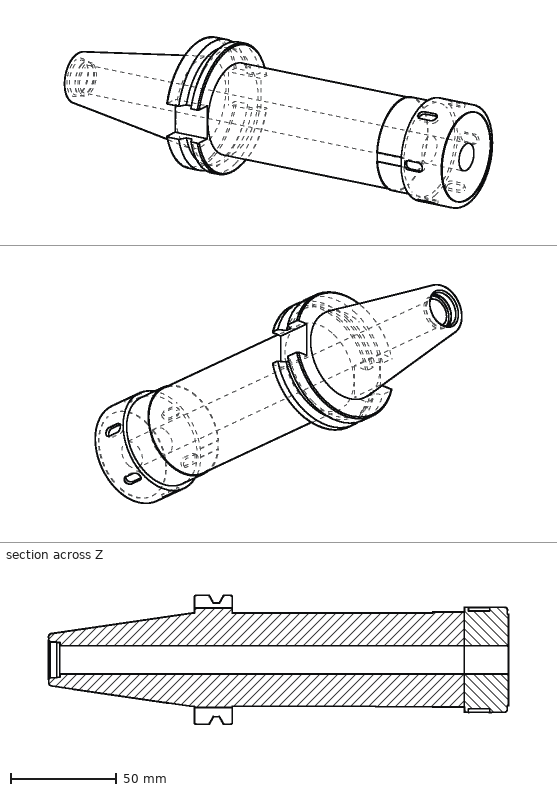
import cadquery as cq
import math

total_length = 218.2
taper_end = 68.3
flange_start = 69.2
flange_end = 87.3
collar_start = 182.2
nut_start = 197.3

gauge_diameter = 44.5
body_diameter = 44.5
flange_diameter = 63.5
collar_diameter = 45.5
nut_diameter = 50.0
bore_diameter = 13.3
counterbore_diameter = 16.8
seat_diameter = 16.4

taper_ratio = 7 / 24
small_end_diameter = gauge_diameter - taper_end * taper_ratio
small_end_fillet = 1.7
counterbore_depth = 4.0
seat_depth = 5.5
counterbore_chamfer = 0.9

flange_chamfer = 0.7
groove_centre = 79.7
groove_floor_width = 2.8
groove_depth = 3.5
groove_flank_angle = 30.0
drive_slot_width = 16.5
front_slot_distance = 22.7
rear_slot_distance = 24.7

keyway_width = 4.5

nut_fillet = 1.5
nut_face_diameter = 43.5
nut_face_height = 0.5
wrench_slot_count = 6
wrench_slot_length = 10.0
wrench_slot_width = 4.5
wrench_slot_depth = 1.7
wrench_slot_offset = 2.0


def cylinder(start, end, diameter):
    """Cylinder on the X axis between two stations."""
    return cq.Workplane("YZ", origin=(start, 0, 0)).circle(diameter / 2).extrude(end - start)


def revolve_profile(profile):
    """Close a profile and turn it a full revolution around the X axis."""
    return profile.close().revolve(360, (0, 0, 0), (1, 0, 0))


def make_taper():
    """Conical shank with a rounded small end."""
    outline = [
        (0, 0),
        (0, small_end_diameter / 2),
        (taper_end, gauge_diameter / 2),
        (taper_end, 0),
    ]
    cone = revolve_profile(cq.Workplane("XY").polyline(outline))
    return cone.faces("<X").edges().fillet(small_end_fillet)


def make_flange():
    """Chamfered flange with a V groove around it and a drive slot on each side."""
    flange = cylinder(flange_start, flange_end, flange_diameter)
    flange = flange.faces("<X or >X").edges().chamfer(flange_chamfer)

    rim = flange_diameter / 2
    floor_half = groove_floor_width / 2
    rim_half = floor_half + groove_depth * math.tan(math.radians(groove_flank_angle))
    groove_outline = [
        (groove_centre - rim_half, rim),
        (groove_centre - floor_half, rim - groove_depth),
        (groove_centre + floor_half, rim - groove_depth),
        (groove_centre + rim_half, rim),
    ]
    groove = revolve_profile(cq.Workplane("XY").polyline(groove_outline))
    flange = flange.cut(groove)

    flange_width = flange_end - flange_start
    slot_block = cq.Workplane("XY", origin=(flange_start, 0, 0)).box(
        flange_width, flange_diameter, drive_slot_width, centered=(False, False, True)
    )
    front_slot = slot_block.translate((0, -front_slot_distance - flange_diameter, 0))
    rear_slot = slot_block.translate((0, rear_slot_distance, 0))
    return flange.cut(front_slot).cut(rear_slot)


def make_collar():
    """Collar with a shallow keyway on the front, level with the body surface."""
    collar = cylinder(collar_start, nut_start, collar_diameter)
    keyway = cq.Workplane("XY", origin=(collar_start, -body_diameter / 2, 0)).box(
        nut_start - collar_start, collar_diameter, keyway_width, centered=(False, False, True)
    ).translate((0, -collar_diameter, 0))
    return collar.cut(keyway)


def make_end_recess():
    """Stepped recess in the small end, with a chamfered mouth."""
    mouth_radius = counterbore_diameter / 2 + counterbore_chamfer
    outline = [
        (0, 0),
        (0, mouth_radius),
        (counterbore_chamfer, counterbore_diameter / 2),
        (counterbore_depth, counterbore_diameter / 2),
        (counterbore_depth, seat_diameter / 2),
        (seat_depth, seat_diameter / 2),
        (seat_depth, 0),
    ]
    return revolve_profile(cq.Workplane("XY").polyline(outline))


def make_holder():
    """Taper, flange, body and collar in one piece, bored through."""
    holder = make_taper()
    holder = holder.union(cylinder(taper_end, flange_start, gauge_diameter))
    holder = holder.union(make_flange())
    holder = holder.union(cylinder(flange_end, collar_start, body_diameter))
    holder = holder.union(make_collar())
    holder = holder.cut(cylinder(0, nut_start, bore_diameter))
    return holder.cut(make_end_recess())


def make_nut():
    """Clamping nut with a rounded outer end, a low raised face and wrench slots around it."""
    shoulder = total_length - nut_face_height
    nut = cylinder(nut_start, shoulder, nut_diameter)
    nut = nut.faces(">X").edges().fillet(nut_fillet)
    nut = nut.union(cylinder(shoulder, total_length, nut_face_diameter))
    nut = nut.cut(cylinder(nut_start, total_length, bore_diameter))

    slot_centre = nut_start + wrench_slot_offset + wrench_slot_length / 2
    slot = (
        cq.Workplane("XZ", origin=(slot_centre, -nut_diameter / 2 + wrench_slot_depth, 0))
        .slot2D(wrench_slot_length, wrench_slot_width)
        .extrude(nut_diameter)
    )
    for index in range(wrench_slot_count):
        nut = nut.cut(slot.rotate((0, 0, 0), (1, 0, 0), index * 360 / wrench_slot_count))
    return nut


holder = make_holder()
nut = make_nut()
result = cq.Compound.makeCompound([holder.val(), nut.val()])